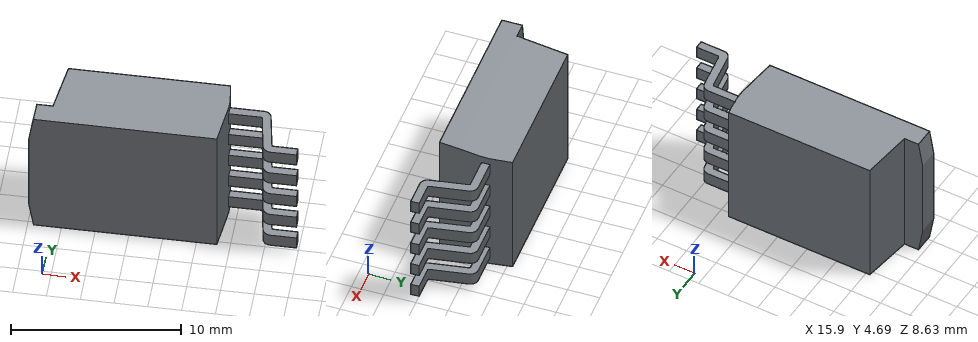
import cadquery as cq
import math


total_length = 15.87
package_width = 8.63
package_height = 4.59

tab_thickness = 1.29
ear_length = 1.24
ear_corner_length = 0.29
ear_end_width = 5.3
slug_end = 6.32
slug_width = 3.59

top_start = 1.65
top_end = 11.25
underside_end = 11.14
parting_end = 11.43
side_draft_angle = 1.0

lead_count = 5
lead_pitch = 1.7
lead_width = 0.83
lead_thickness = 0.52
lead_standoff = 0.1
shoulder_bottom = 2.71
leg_angle = 10.0
shoulder_corner = 13.41
outer_bend_radius = 0.49
inner_bend_radius = 0.1

shoulder_top = shoulder_bottom + lead_thickness


def make_tab():
    """T-shaped plate: a wide ear with cut corners and a narrower slug under the moulding."""
    half_width = package_width / 2
    half_end = ear_end_width / 2
    half_slug = slug_width / 2
    outline = [
        (0, -half_end),
        (ear_corner_length, -half_width),
        (ear_length, -half_width),
        (ear_length, -half_slug),
        (slug_end, -half_slug),
        (slug_end, half_slug),
        (ear_length, half_slug),
        (ear_length, half_width),
        (ear_corner_length, half_width),
        (0, half_end),
    ]
    return cq.Workplane("XZ").polyline(outline).close().extrude(-tab_thickness)


def make_moulding():
    """Block with sloped ends, whose sides are upright beside the tab and drafted above it."""
    end_profile = [
        (ear_length, 0),
        (underside_end, 0),
        (parting_end, shoulder_bottom),
        (parting_end, shoulder_top),
        (top_end, package_height),
        (top_start, package_height),
        (ear_length, tab_thickness),
    ]
    block = cq.Workplane("XY").polyline(end_profile).close().extrude(package_width / 2, both=True)

    half_width = package_width / 2
    side_draft = (package_height - tab_thickness) * math.tan(math.radians(side_draft_angle))
    half_top = half_width - side_draft
    cross_section = [
        (0, -half_width),
        (tab_thickness, -half_width),
        (package_height, -half_top),
        (package_height, half_top),
        (tab_thickness, half_width),
        (0, half_width),
    ]
    drafted_bar = cq.Workplane("YZ").polyline(cross_section).close().extrude(total_length)
    return block.intersect(drafted_bar)


def make_package():
    """Moulding and tab as one solid, with the tab's border kept as edges in the flush faces."""
    tab = make_tab()
    return make_moulding().cut(tab).union(tab, clean=False).solids()


def make_lead(z_center):
    """Gull-wing lead: a shoulder from the moulding, a sloped leg and a flat foot."""
    foot_bottom = -lead_standoff
    foot_top = foot_bottom + lead_thickness
    slope = math.tan(math.radians(leg_angle))
    leg_breadth = lead_thickness / math.cos(math.radians(leg_angle))

    def leg_inner_x(y):
        return shoulder_corner + (shoulder_bottom - y) * slope

    def leg_outer_x(y):
        return leg_inner_x(y) + leg_breadth

    shoulder_inside = (leg_inner_x(shoulder_bottom), shoulder_bottom)
    foot_outside = (leg_inner_x(foot_bottom), foot_bottom)
    foot_inside = (leg_outer_x(foot_top), foot_top)
    shoulder_outside = (leg_outer_x(shoulder_top), shoulder_top)
    outline = [
        (parting_end, shoulder_bottom),
        shoulder_inside,
        foot_outside,
        (total_length, foot_bottom),
        (total_length, foot_top),
        foot_inside,
        shoulder_outside,
        (parting_end, shoulder_top),
    ]
    lead = (
        cq.Workplane("XY")
        .workplane(offset=z_center - lead_width / 2)
        .polyline(outline)
        .close()
        .extrude(lead_width)
    )

    bends = [
        (shoulder_inside, inner_bend_radius),
        (foot_inside, inner_bend_radius),
        (shoulder_outside, outer_bend_radius),
        (foot_outside, outer_bend_radius),
    ]
    for (x, y), radius in bends:
        lead = lead.edges(cq.selectors.NearestToPointSelector((x, y, z_center))).fillet(radius)
    return lead.solids()


package = make_package()
first_lead_z = -lead_pitch * (lead_count - 1) / 2
leads = [make_lead(first_lead_z + index * lead_pitch) for index in range(lead_count)]

result = cq.Compound.makeCompound([package.val(), *[lead.val() for lead in leads]])